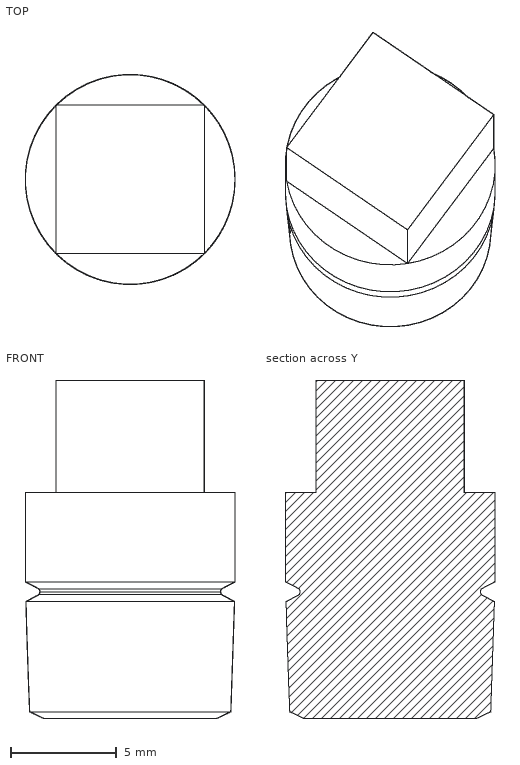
import cadquery as cq
import math

total_height = 16.0
head_diameter = 9.94
head_radius = head_diameter / 2

square_side = head_diameter / math.sqrt(2)
square_height = 5.3
shoulder_z = total_height - square_height

plug_top_z = 5.54
plug_top_radius = 4.95
plug_bottom_radius = 4.77
chamfer_height = 0.32
chamfer_width = 0.67

head_bottom_z = 6.46
groove_radius = 4.32
groove_floor_top_z = 6.13
groove_floor_bottom_z = 5.87
groove_root_radius = 4.27
groove_root_z = 6.0


def make_round_body():
    """Revolve the half outline of head, groove and plug about Z."""
    outline = (
        cq.Workplane("XZ")
        .lineTo(plug_bottom_radius - chamfer_width, 0)
        .lineTo(plug_bottom_radius, chamfer_height)
        .lineTo(plug_top_radius, plug_top_z)
        .lineTo(groove_radius, groove_floor_bottom_z)
        .lineTo(groove_root_radius, groove_root_z)
        .lineTo(groove_radius, groove_floor_top_z)
        .lineTo(head_radius, head_bottom_z)
        .lineTo(head_radius, shoulder_z)
        .lineTo(0, shoulder_z)
        .close()
    )
    return outline.revolve(360, (0, 0, 0), (0, 1, 0))


def make_square_drive():
    """Square drive standing on the shoulder of the head."""
    return (
        cq.Workplane("XY", origin=(0, 0, shoulder_z))
        .rect(square_side, square_side)
        .extrude(square_height)
    )


result = make_round_body().union(make_square_drive())